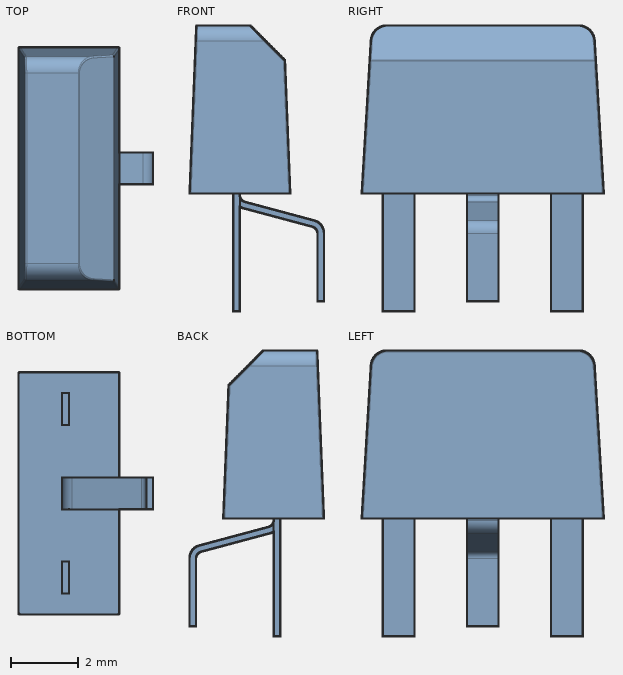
import cadquery as cq
import math

BODY_DEPTH = 3.0
BODY_WIDTH = 7.2
BODY_HEIGHT = 5.0
FACE_SETBACK = 0.2
END_SETBACK = 0.3
BEVEL_TOP_X = 0.3
SHOULDER_RADIUS = 0.5
EDGE_RADIUS = 0.05

LEAD_THICKNESS = 0.2
LEAD_WIDTH = 0.95
LEAD_CENTER_X = -LEAD_THICKNESS / 2
LEAD_PITCH = 2.5
OUTER_LEAD_LENGTH = 3.5

MIDDLE_LEAD_LENGTH = 3.2
MIDDLE_LEAD_OFFSET = 2.5
STRAIGHT_START = 0.05
CRANK_SLOPE = math.radians(15)
BEND_INNER_RADIUS = 0.2


def make_body():
    """Tapered block with a bevelled +X top edge, rounded shoulders and softened edges."""
    half_depth = BODY_DEPTH / 2
    half_width = BODY_WIDTH / 2
    top_half_depth = half_depth - FACE_SETBACK
    top_half_width = half_width - END_SETBACK

    lean = FACE_SETBACK / BODY_HEIGHT
    bevel_size = (top_half_depth - BEVEL_TOP_X) / (1 - lean)
    side_profile = (
        cq.Workplane("XZ")
        .polyline([
            (-half_depth, 0),
            (half_depth, 0),
            (BEVEL_TOP_X + bevel_size, BODY_HEIGHT - bevel_size),
            (BEVEL_TOP_X, BODY_HEIGHT),
            (-top_half_depth, BODY_HEIGHT),
        ])
        .close()
        .extrude(half_width, both=True)
    )
    face_profile = (
        cq.Workplane("YZ")
        .polyline([
            (-half_width, 0),
            (half_width, 0),
            (top_half_width, BODY_HEIGHT),
            (-top_half_width, BODY_HEIGHT),
        ])
        .close()
        .extrude(half_depth, both=True)
        .edges("|X and >Z")
        .fillet(SHOULDER_RADIUS)
    )
    body = side_profile.intersect(face_profile)

    rim = body.faces("<X or >X or >>X[-2]").edges("not(<Z)")
    return rim.fillet(EDGE_RADIUS)


def make_outer_lead(center_y):
    """Straight flat lead hanging from the base."""
    return (
        cq.Workplane("XY")
        .center(LEAD_CENTER_X, center_y)
        .rect(LEAD_THICKNESS, LEAD_WIDTH)
        .extrude(-OUTER_LEAD_LENGTH)
    )


def make_middle_lead():
    """Strip swept along its centreline: down, bent outward, then bent down again."""
    bend_radius = BEND_INNER_RADIUS + LEAD_THICKNESS / 2
    tip_x = LEAD_CENTER_X + MIDDLE_LEAD_OFFSET
    bend_reach = bend_radius * (1 - math.sin(CRANK_SLOPE))
    bend_drop = bend_radius * math.cos(CRANK_SLOPE)

    slope_start_x = LEAD_CENTER_X + bend_reach
    slope_start_z = -STRAIGHT_START - bend_drop
    slope_end_x = tip_x - bend_reach
    slope_end_z = slope_start_z - (slope_end_x - slope_start_x) * math.tan(CRANK_SLOPE)

    centreline = (
        cq.Workplane("XZ")
        .moveTo(LEAD_CENTER_X, 0)
        .lineTo(LEAD_CENTER_X, -STRAIGHT_START)
        .tangentArcPoint((slope_start_x, slope_start_z), relative=False)
        .lineTo(slope_end_x, slope_end_z)
        .tangentArcPoint((tip_x, slope_end_z - bend_drop), relative=False)
        .lineTo(tip_x, -MIDDLE_LEAD_LENGTH)
    )
    return (
        cq.Workplane("XY")
        .center(LEAD_CENTER_X, 0)
        .rect(LEAD_THICKNESS, LEAD_WIDTH)
        .sweep(centreline)
    )


result = make_body().union(make_middle_lead())
for side in (-1, 1):
    result = result.union(make_outer_lead(side * LEAD_PITCH))